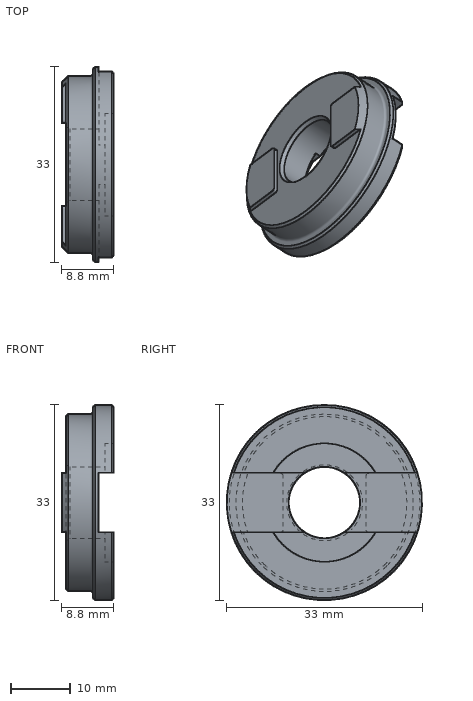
import cadquery as cq

total_length = 8.8
flange_radius = 16.5
spigot_radius = 14.98
bore_radius = 6.0

pad_height = 0.7
flange_length = 3.6
flange_start = total_length - flange_length

edge_chamfer = 0.4
root_fillet = 0.4
bore_chamfer_width = 0.4
bore_chamfer_depth = 0.7

key_width = 10.0
pad_inner_offset = 7.0
pad_corner_radius = 0.5
slot_depth = 2.6

recess_radius = 10.0
recess_depth = 1.6


def make_body():
    """Stepped ring with bevelled edges and a filleted shoulder, solid up to the pad faces."""
    spigot_bevel = pad_height + edge_chamfer
    profile = (
        cq.Workplane("XZ")
        .moveTo(0, bore_radius)
        .lineTo(0, spigot_radius - spigot_bevel)
        .lineTo(spigot_bevel, spigot_radius)
        .lineTo(flange_start - root_fillet, spigot_radius)
        .radiusArc((flange_start, spigot_radius + root_fillet), -root_fillet)
        .lineTo(flange_start, flange_radius - edge_chamfer)
        .lineTo(flange_start + edge_chamfer, flange_radius)
        .lineTo(total_length - edge_chamfer, flange_radius)
        .lineTo(total_length, flange_radius - edge_chamfer)
        .lineTo(total_length, bore_radius)
        .close()
    )
    return profile.revolve(360, (0, 0, 0), (1, 0, 0))


def make_pad_footprint(side):
    """Block covering the pad on the +Y (side = 1) or -Y (side = -1) half."""
    pad_length = flange_radius - pad_inner_offset
    return (
        cq.Workplane("XY")
        .box(pad_height, pad_length, key_width, centered=(False, True, True))
        .translate((0, side * (pad_inner_offset + pad_length / 2), 0))
        .edges("|X")
        .edges("<Y" if side > 0 else ">Y")
        .fillet(pad_corner_radius)
    )


def make_face_relief():
    """Layer removed from the spigot face, leaving only the two pads standing."""
    relief = cq.Workplane("YZ").circle(flange_radius).extrude(pad_height)
    for side in (1, -1):
        relief = relief.cut(make_pad_footprint(side))
    return relief


def make_bore_chamfer():
    """Cone that bevels the mouth of the bore at the spigot face."""
    return (
        cq.Workplane("XZ")
        .moveTo(pad_height, 0)
        .lineTo(pad_height, bore_radius + bore_chamfer_width)
        .lineTo(pad_height + bore_chamfer_depth, bore_radius)
        .lineTo(pad_height + bore_chamfer_depth, 0)
        .close()
        .revolve(360, (0, 0, 0), (1, 0, 0))
    )


def make_slot():
    """Straight slot across the whole flange face along Y."""
    return (
        cq.Workplane("XY")
        .box(slot_depth, 2 * flange_radius, key_width, centered=(False, True, True))
        .translate((total_length - slot_depth, 0, 0))
    )


def make_recess():
    """Round recess around the bore in the flange face."""
    recess = cq.Workplane("YZ").circle(recess_radius).extrude(recess_depth)
    return recess.translate((total_length - recess_depth, 0, 0))


result = (
    make_body()
    .cut(make_face_relief())
    .cut(make_bore_chamfer())
    .cut(make_slot())
    .cut(make_recess())
)